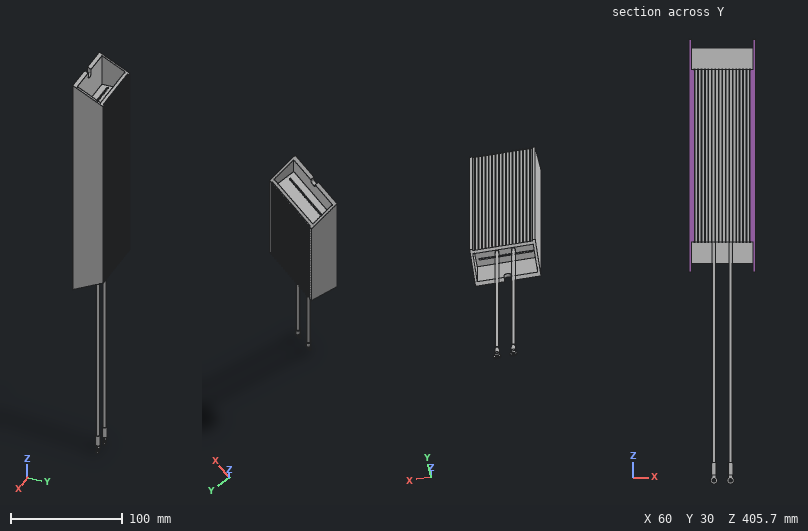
import cadquery as cq

TOTAL_HEIGHT = 405.7
CASE_WIDTH = 60.0
CASE_DEPTH = 30.0
CASE_LENGTH = 220.5
BEVEL_DROP = CASE_DEPTH / 2

FRONT_WALL = 3.5
SIDE_WALL = 2.5
BACK_WALL = 3.5

RIB_COUNT = 17
RIB_PITCH = 3.12
RIB_THICKNESS = 0.7
BACK_RECESS_DEPTH = 1.0
BACK_RECESS_WIDTH = 54.5
CORE_SLOT_DEPTH = 1.2
CORE_SLOT_FROM_FRONT = 10.5

CORE_RECESS = 32.5

NOTCH_WIDTH = 6.0
NOTCH_DEPTH = 8.5

LEAD_SPACING = 15.0
LEAD_DIAMETER = 3.2
SLEEVE_DIAMETER = 4.5
SLEEVE_LENGTH = 11.0
RING_DIAMETER = 7.0
RING_HOLE = 3.0
TONGUE_WIDTH = 4.0
TONGUE_LENGTH = 8.5
TERMINAL_THICKNESS = 1.2

FRONT_Y = -CASE_DEPTH / 2
BACK_Y = CASE_DEPTH / 2
CASE_TOP = TOTAL_HEIGHT
CASE_BOTTOM = TOTAL_HEIGHT - CASE_LENGTH
CAVITY_WIDTH = CASE_WIDTH - 2 * SIDE_WALL
CAVITY_DEPTH = CASE_DEPTH - FRONT_WALL - BACK_WALL
CAVITY_Y = FRONT_Y + FRONT_WALL + CAVITY_DEPTH / 2
CORE_SLOT_Y = FRONT_Y + CORE_SLOT_FROM_FRONT
CORE_SLOT_WIDTH = (RIB_COUNT - 1) * RIB_PITCH - RIB_THICKNESS
CORE_BOTTOM = CASE_BOTTOM + CORE_RECESS
CORE_LENGTH = CASE_LENGTH - 2 * CORE_RECESS


def upright_box(width, depth, height, y, bottom):
    """Box centred on X = 0 and on y, standing on the height 'bottom'."""
    return (
        cq.Workplane("XY", origin=(0, y, bottom))
        .rect(width, depth)
        .extrude(height)
    )


def ribbed_gap(width, depth, y):
    """Full-length gap centred on y, with the ribs left standing across it."""
    gap = upright_box(width, depth, CASE_LENGTH, y, CASE_BOTTOM)
    ribs = (
        cq.Workplane("XY", origin=(0, y, CASE_BOTTOM))
        .rarray(RIB_PITCH, 4, RIB_COUNT, 1)
        .rect(RIB_THICKNESS, depth)
        .extrude(CASE_LENGTH)
    )
    return gap.cut(ribs)


def make_notch(edge_z, inward):
    """Round-ended slot through the front wall; inward is +1 or -1 along Z."""
    radius = NOTCH_WIDTH / 2
    shoulder_z = edge_z + inward * (NOTCH_DEPTH - radius)
    return (
        cq.Workplane("XZ", origin=(0, FRONT_Y + FRONT_WALL, 0))
        .moveTo(-radius, edge_z)
        .lineTo(-radius, shoulder_z)
        .threePointArc((0, edge_z + inward * NOTCH_DEPTH), (radius, shoulder_z))
        .lineTo(radius, edge_z)
        .close()
        .extrude(FRONT_WALL)
    )


def make_case():
    """Bevelled tube with a ribbed back, notched front and recessed core."""
    case = (
        cq.Workplane("YZ")
        .polyline([
            (FRONT_Y, CASE_BOTTOM),
            (FRONT_Y, CASE_TOP),
            (BACK_Y, CASE_TOP - BEVEL_DROP),
            (BACK_Y, CASE_BOTTOM + BEVEL_DROP),
        ])
        .close()
        .extrude(CASE_WIDTH / 2, both=True)
    )
    case = case.cut(upright_box(CAVITY_WIDTH, CAVITY_DEPTH, CASE_LENGTH, CAVITY_Y, CASE_BOTTOM))
    case = case.union(upright_box(CAVITY_WIDTH, CAVITY_DEPTH, CORE_LENGTH, CAVITY_Y, CORE_BOTTOM))
    case = case.cut(ribbed_gap(BACK_RECESS_WIDTH, 2 * BACK_RECESS_DEPTH, BACK_Y))
    case = case.cut(ribbed_gap(CORE_SLOT_WIDTH, CORE_SLOT_DEPTH, CORE_SLOT_Y))
    case = case.cut(make_notch(CASE_TOP, -1))
    return case.cut(make_notch(CASE_BOTTOM, 1))


def make_lead(x):
    """Round lead from the core down to a sleeve and a flat ring terminal."""
    ring_z = RING_DIAMETER / 2
    tongue_height = TONGUE_LENGTH - ring_z
    lead = (
        cq.Workplane("XY", origin=(x, 0, TONGUE_LENGTH))
        .circle(LEAD_DIAMETER / 2)
        .extrude(CORE_BOTTOM - TONGUE_LENGTH)
    )
    sleeve = (
        cq.Workplane("XY", origin=(x, 0, TONGUE_LENGTH))
        .circle(SLEEVE_DIAMETER / 2)
        .extrude(SLEEVE_LENGTH)
    )
    plate = cq.Workplane("XZ", origin=(x, 0, ring_z))
    ring = plate.circle(RING_DIAMETER / 2).extrude(TERMINAL_THICKNESS / 2, both=True)
    tongue = (
        plate.center(0, tongue_height / 2)
        .rect(TONGUE_WIDTH, tongue_height)
        .extrude(TERMINAL_THICKNESS / 2, both=True)
    )
    hole = (
        cq.Workplane("XZ", origin=(x, 0, ring_z))
        .circle(RING_HOLE / 2)
        .extrude(TERMINAL_THICKNESS, both=True)
    )
    return lead.union(sleeve).union(ring.union(tongue).cut(hole))


result = make_case()
for side in (-1, 1):
    result = result.union(make_lead(side * LEAD_SPACING / 2))